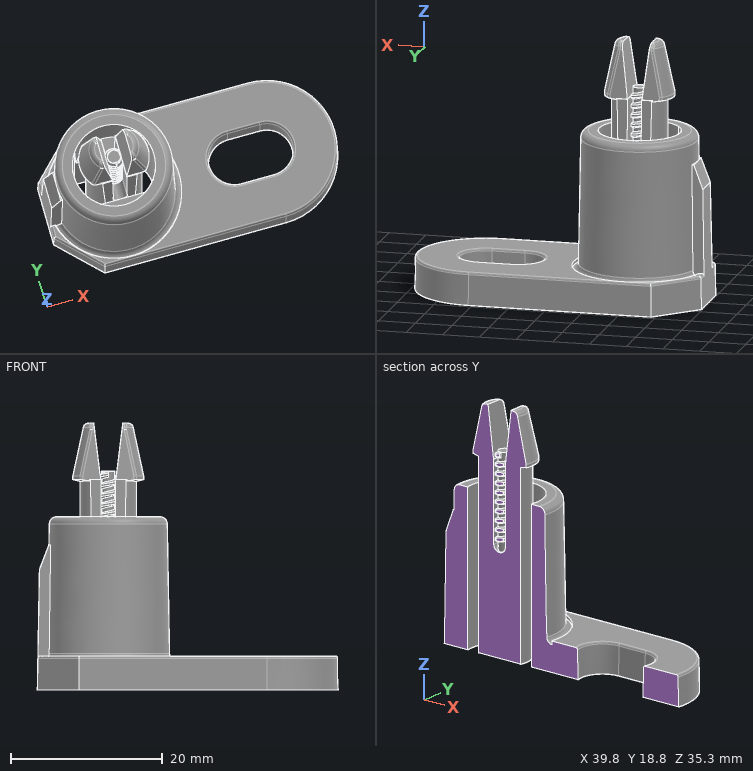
import cadquery as cq
import math

DRAFT = 1.0
DRAFT_SLOPE = math.tan(math.radians(DRAFT))

BASE_WIDTH = 18.75
BASE_HALF = BASE_WIDTH / 2
BASE_LENGTH = 39.75
BASE_HEIGHT = 4.5
BASE_EDGE_ROUND = 0.3
CORNER_HALF = BASE_HALF * math.tan(math.radians(22.5))
ROUND_END_X = BASE_LENGTH - BASE_WIDTH

SLOT_RADIUS = 3.4
SLOT_TRAVEL = 4.45

TOWER_TOP = 22.9
TOWER_FOOT_RADIUS = 8.1
TOWER_TOP_ROUND = 1.0
FLARE_RADIUS = 0.85
FLARE_BOTTOM = 3.98

BORE_RADIUS = 5.5
BORE_FLOOR = 14.9
OPENING_HALF_WIDTH = 3.12

RIB_HALF_WIDTH = 2.3
RIB_SHOULDER = 15.9
RIB_TOP = 19.15

STEM_RADIUS = 3.75
STEM_TOP = 27.8
GAP_HALF = 0.95

HEAD_AXIS_OFFSET = 0.7
HEAD_REACH = 4.7
HEAD_TOP_REACH = 3.2
HEAD_TOP = 35.25
HEAD_RIM_HEIGHT = 0.48
HEAD_UNDERCUT = 0.25
HEAD_HALF_WIDTH = 2.82
HEAD_TOP_HALF_WIDTH = 2.05
HEAD_TOP_GAP_HALF = 1.9
HEAD_SIDE_ROUND = 0.48
HEAD_TOP_ROUND = 0.75
HEAD_TOP_SIDE_ROUND = 1.0

PIN_RADIUS = 0.87
PIN_TOP = 28.9
THREAD_RADIUS = 1.27
THREAD_PITCH = 1.3
THREAD_ROOT_WIDTH = 0.87
THREAD_CREST_WIDTH = 0.3
THREAD_OVERLAP = 0.08
THREAD_BOTTOM = 15.7
THREAD_TOP = 28.5


def make_base():
    outline = (
        cq.Workplane("XY")
        .moveTo(-BASE_HALF, -CORNER_HALF)
        .lineTo(-CORNER_HALF, -BASE_HALF)
        .lineTo(ROUND_END_X, -BASE_HALF)
        .threePointArc((ROUND_END_X + BASE_HALF, 0), (ROUND_END_X, BASE_HALF))
        .lineTo(-CORNER_HALF, BASE_HALF)
        .lineTo(-BASE_HALF, CORNER_HALF)
        .close()
    )
    plate = outline.extrude(BASE_HEIGHT, taper=DRAFT)
    slot = (
        cq.Workplane("XY")
        .center(ROUND_END_X - SLOT_TRAVEL / 2, 0)
        .slot2D(SLOT_TRAVEL + 2 * SLOT_RADIUS, 2 * SLOT_RADIUS)
        .extrude(BASE_HEIGHT, taper=-DRAFT)
    )
    return plate.cut(slot).faces(">Z").edges().fillet(BASE_EDGE_ROUND)


def tower_radius(z):
    return TOWER_FOOT_RADIUS - (z - FLARE_BOTTOM - FLARE_RADIUS) * DRAFT_SLOPE


def make_tower():
    flare_top = FLARE_BOTTOM + FLARE_RADIUS
    flare_outer = TOWER_FOOT_RADIUS + FLARE_RADIUS
    arc_offset = FLARE_RADIUS * math.sqrt(0.5)
    return (
        cq.Workplane("XZ")
        .lineTo(flare_outer, 0)
        .lineTo(flare_outer, FLARE_BOTTOM)
        .threePointArc(
            (flare_outer - arc_offset, flare_top - arc_offset),
            (TOWER_FOOT_RADIUS, flare_top),
        )
        .lineTo(tower_radius(TOWER_TOP), TOWER_TOP)
        .lineTo(0, TOWER_TOP)
        .close()
        .revolve(360, (0, 0, 0), (0, 1, 0))
        .faces(">Z")
        .edges()
        .fillet(TOWER_TOP_ROUND)
    )


def make_foot_recess():
    """Round pocket in the base top that the flared foot of the tower sits in."""
    return (
        cq.Workplane("XY")
        .workplane(offset=FLARE_BOTTOM)
        .circle(TOWER_FOOT_RADIUS + FLARE_RADIUS)
        .extrude(BASE_HEIGHT - FLARE_BOTTOM)
    )


def tapered_slab(half_width, top_half_width, bottom, top):
    """Slab centred on Y = 0, reaching past the tower in X, with sloping Y sides."""
    return (
        cq.Workplane("YZ")
        .polyline([
            (-half_width, bottom),
            (half_width, bottom),
            (top_half_width, top),
            (-top_half_width, top),
        ])
        .close()
        .extrude(BASE_LENGTH / 2, both=True)
    )


def make_rib():
    side = (
        cq.Workplane("XZ")
        .moveTo(-BASE_HALF, 0)
        .lineTo(-BASE_HALF + RIB_SHOULDER * DRAFT_SLOPE, RIB_SHOULDER)
        .lineTo(-tower_radius(RIB_TOP), RIB_TOP)
        .lineTo(-BORE_RADIUS, RIB_TOP)
        .lineTo(-BORE_RADIUS, 0)
        .close()
        .extrude(BASE_HALF, both=True)
    )
    top_half_width = RIB_HALF_WIDTH - RIB_TOP * DRAFT_SLOPE
    return side.intersect(tapered_slab(RIB_HALF_WIDTH, top_half_width, 0, RIB_TOP))


def make_bore():
    depth = TOWER_TOP - BORE_FLOOR
    cup = (
        cq.Workplane("XY")
        .workplane(offset=TOWER_TOP)
        .circle(BORE_RADIUS)
        .extrude(-depth, taper=DRAFT)
    )
    opening = (
        cq.Workplane("XY")
        .circle(BORE_RADIUS)
        .extrude(TOWER_TOP)
        .intersect(tapered_slab(OPENING_HALF_WIDTH, OPENING_HALF_WIDTH, 0, TOWER_TOP))
    )
    return cup.union(opening)


def make_stem():
    """Round stem with flat, drafted Y sides, split by a gap with a round bottom."""
    top_half_width = OPENING_HALF_WIDTH - (STEM_TOP - BORE_FLOOR) * DRAFT_SLOPE
    sides = tapered_slab(OPENING_HALF_WIDTH, OPENING_HALF_WIDTH, 0, BORE_FLOOR).union(
        tapered_slab(OPENING_HALF_WIDTH, top_half_width, BORE_FLOOR, STEM_TOP)
    )
    stem = cq.Workplane("XY").circle(STEM_RADIUS).extrude(STEM_TOP).intersect(sides)
    gap = (
        cq.Workplane("XZ")
        .moveTo(-GAP_HALF, STEM_TOP)
        .lineTo(-GAP_HALF, BORE_FLOOR + GAP_HALF)
        .threePointArc((0, BORE_FLOOR), (GAP_HALF, BORE_FLOOR + GAP_HALF))
        .lineTo(GAP_HALF, STEM_TOP)
        .close()
        .extrude(BASE_HALF, both=True)
    )
    return stem.cut(gap)


def make_head():
    """Barbed head of the +X prong: a round-topped cone trimmed by three sloping sides."""
    bottom = STEM_TOP - HEAD_UNDERCUT
    cone = (
        cq.Workplane("XZ")
        .moveTo(HEAD_AXIS_OFFSET, bottom)
        .lineTo(STEM_RADIUS, bottom)
        .lineTo(HEAD_REACH, STEM_TOP)
        .lineTo(HEAD_REACH, STEM_TOP + HEAD_RIM_HEIGHT)
        .lineTo(HEAD_TOP_REACH, HEAD_TOP)
        .lineTo(HEAD_AXIS_OFFSET, HEAD_TOP)
        .close()
        .revolve(360, (HEAD_AXIS_OFFSET, 0, 0), (HEAD_AXIS_OFFSET, 1, 0))
        .faces(">Z")
        .edges()
        .fillet(HEAD_TOP_ROUND)
    )
    flat_sides = (
        tapered_slab(HEAD_HALF_WIDTH, HEAD_TOP_HALF_WIDTH, bottom, HEAD_TOP)
        .faces(">Z")
        .edges("|X")
        .fillet(HEAD_TOP_SIDE_ROUND)
    )
    inner_side = (
        cq.Workplane("XZ")
        .polyline([
            (GAP_HALF, bottom),
            (HEAD_REACH, bottom),
            (HEAD_REACH, HEAD_TOP),
            (HEAD_TOP_GAP_HALF, HEAD_TOP),
        ])
        .close()
        .extrude(BASE_HALF, both=True)
    )
    head = cone.intersect(flat_sides).intersect(inner_side)
    corner_start = STEM_TOP + HEAD_RIM_HEIGHT / 4
    corner_end = HEAD_TOP - HEAD_TOP_ROUND
    outer_edges = cq.selectors.BoxSelector(
        (STEM_RADIUS / 2, -HEAD_REACH, corner_start), (HEAD_REACH, HEAD_REACH, corner_end)
    )
    corners = head.edges(outer_edges).edges("not %CIRCLE")
    return corners.fillet(HEAD_SIDE_ROUND)


def make_pin():
    pin = (
        cq.Workplane("XY")
        .workplane(offset=BORE_FLOOR - GAP_HALF)
        .circle(PIN_RADIUS)
        .extrude(PIN_TOP - BORE_FLOOR + GAP_HALF)
    )
    root_radius = PIN_RADIUS - THREAD_OVERLAP
    helix = cq.Wire.makeHelix(
        THREAD_PITCH, THREAD_TOP - THREAD_BOTTOM, root_radius, cq.Vector(0, 0, THREAD_BOTTOM)
    )
    thread = (
        cq.Workplane("XZ")
        .polyline([
            (root_radius, THREAD_BOTTOM - THREAD_ROOT_WIDTH / 2),
            (THREAD_RADIUS, THREAD_BOTTOM - THREAD_CREST_WIDTH / 2),
            (THREAD_RADIUS, THREAD_BOTTOM + THREAD_CREST_WIDTH / 2),
            (root_radius, THREAD_BOTTOM + THREAD_ROOT_WIDTH / 2),
        ])
        .close()
        .sweep(cq.Workplane(helix), isFrenet=True)
    )
    return pin.union(thread)


body = make_base().cut(make_foot_recess()).union(make_tower()).union(make_rib())
head = make_head()
prongs = make_stem().union(head).union(head.mirror("YZ"))
result = body.cut(make_bore()).union(prongs).union(make_pin())